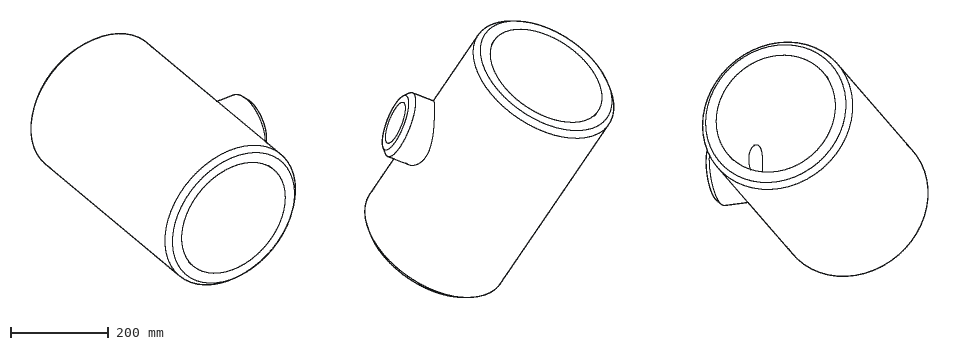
import cadquery as cq

run_length = 508.0
run_diameter = 324.0
run_bore = 257.0

branch_reach = 216.0
branch_diameter = 140.0
branch_wall = 25.5
branch_bore = branch_diameter - 2 * branch_wall

run_bevel_length = 11.5
branch_bevel_length = 10.5
bevel_depth = 10.5


def beveled_bar(diameter, start, end, bevel_length, bevel_start):
    """Solid round bar along X, beveled at its end and optionally at its start."""
    radius = diameter / 2
    tip_radius = radius - bevel_depth
    outline = cq.Workplane("XY").moveTo(start, 0)
    if bevel_start:
        outline = outline.lineTo(start, tip_radius).lineTo(start + bevel_length, radius)
    else:
        outline = outline.lineTo(start, radius)
    outline = outline.lineTo(end - bevel_length, radius).lineTo(end, tip_radius).lineTo(end, 0)
    return outline.close().revolve(360, (0, 0, 0), (1, 0, 0))


def along_branch(body):
    """Turn a body lying along +X so that it lies along +Y."""
    return body.rotate((0, 0, 0), (0, 0, 1), 90)


run = beveled_bar(run_diameter, -run_length / 2, run_length / 2, run_bevel_length, True)
branch = along_branch(beveled_bar(branch_diameter, 0, branch_reach, branch_bevel_length, False))

run_hole = cq.Workplane("YZ").circle(run_bore / 2).extrude(run_length / 2, both=True)
branch_hole = along_branch(cq.Workplane("YZ").circle(branch_bore / 2).extrude(branch_reach))

result = run.union(branch).cut(run_hole).cut(branch_hole)